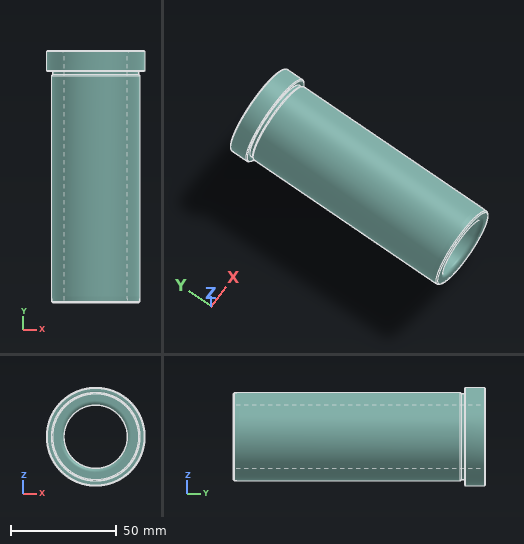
import cadquery as cq

length = 120.0
flange_radius = 23.5
flange_width = 10.0
flange_chamfer = 0.5
body_radius = 21.1
bore_radius = 15.0
mouth_radius = 2.0

groove_radius = 20.5
groove_width = 2.0
groove_ramp = 0.7
undercut_radius = 21.7
undercut_depth = 0.2

lead_length = 3.0
lead_drop = 0.1
tip_chamfer = 0.6

front = -length / 2
back = length / 2
flange_front = back - flange_width
groove_front = flange_front - groove_width
tip_radius = body_radius - lead_drop
mouth_outer_radius = bore_radius + mouth_radius
mouth_mid_radius = mouth_outer_radius - mouth_radius * 0.5**0.5
mouth_mid_depth = mouth_radius * (1 - 0.5**0.5)

profile = (
    cq.Workplane("XY")
    .moveTo(mouth_outer_radius, front)
    .lineTo(tip_radius - tip_chamfer, front)
    .lineTo(tip_radius, front + tip_chamfer)
    .lineTo(body_radius, front + lead_length)
    .lineTo(body_radius, groove_front)
    .lineTo(groove_radius, groove_front + groove_ramp)
    .lineTo(groove_radius, flange_front + undercut_depth)
    .lineTo(undercut_radius, flange_front)
    .lineTo(flange_radius - flange_chamfer, flange_front)
    .lineTo(flange_radius, flange_front + flange_chamfer)
    .lineTo(flange_radius, back - flange_chamfer)
    .lineTo(flange_radius - flange_chamfer, back)
    .lineTo(mouth_outer_radius, back)
    .threePointArc((mouth_mid_radius, back - mouth_mid_depth), (bore_radius, back - mouth_radius))
    .lineTo(bore_radius, front + mouth_radius)
    .threePointArc((mouth_mid_radius, front + mouth_mid_depth), (mouth_outer_radius, front))
    .close()
)
result = profile.revolve(360, (0, 0, 0), (0, 1, 0))